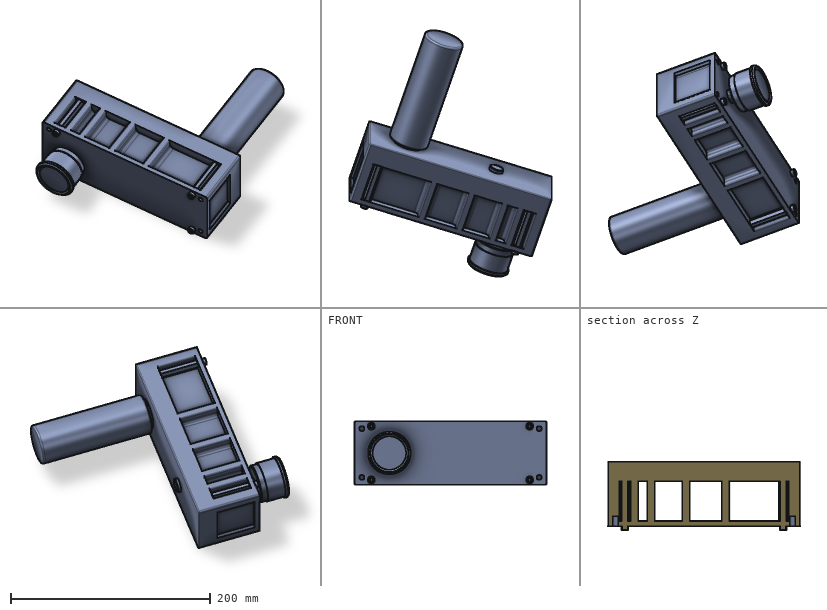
import cadquery as cq
WIDTH = 193.0
HEIGHT = 64.0
DEPTH = 65.0
LID_DEPTH = 20.0
CORNER_RADIUS = 2.0
BACK_EDGE_RADIUS = 1.0

FRONT_WALL = 5.3
POCKET_END = DEPTH - LID_DEPTH
POCKET_LENGTH = POCKET_END - FRONT_WALL
POCKET_DEPTH = 10.0
POCKET_FLOOR_RADIUS = 4.2
POCKET_RIM_RADIUS = 1.0
RIB = 5.5
POCKETS_START = -86.0
POCKET_WIDTHS = (13.7, 11.0, 29.5, 34.2, 61.5)

END_RECESS_HALF_HEIGHT = 22.3
END_RECESS_DEPTH = 3.3
END_RECESS_SLOPE_DEPTH = 2.6
END_RECESS_SLOPE_DROP = 2.1
END_RECESS_COVE_DROP = 2.1
END_RECESS_COVE_RADIUS = 3.7

SCREW_X = 79.4
SCREW_Z = 27.0
SCREW_HEAD_RADIUS = 3.5
SCREW_HEAD_HEIGHT = 4.0
SCREW_HEAD_CHAMFER = 0.5
SCREW_SOCKET_SIZE = 3.5
SCREW_SOCKET_DEPTH = 2.0
BOSS_ACROSS_CORNERS = 8.5

HOLE_X = 88.9
HOLE_Z = 24.5
HOLE_DIAMETER = 5.0
HOLE_DEPTH = 10.0

KNOB_X = -61.3
STEM_RADIUS = 7.0
STEM_LENGTH = 6.6
COLLAR_RADIUS = 19.2
COLLAR_START = 7.5
COLLAR_BEVEL = 0.9
GRIP_RADIUS = 20.0
GRIP_START = 14.3
FLANGE_RADIUS = 21.4
FLANGE_START = 32.6
KNOB_END = 36.8
FLANGE_CHAMFER = 1.8
DISH_RIM_RADIUS = 19.0
DISH_FLOOR_RADIUS = 16.8
DISH_DEPTH = 1.0

MOTOR_X = 56.0
MOTOR_RADIUS = 20.0
OVERALL_LENGTH = 220.5
MOTOR_END = OVERALL_LENGTH - KNOB_END
MOTOR_EDGE_RADIUS = 2.0
NECK_RADIUS = 15.0
NECK_LENGTH = 2.6
CAP_X = -37.0
CAP_RADIUS = 7.0
CAP_HEIGHT = 3.5
CAP_CHAMFER = 0.7


def rod(x, z, radius, start, end):
    """Cylinder along Y from y = start to y = end."""
    axis_start = cq.Vector(x, start, z)
    solid = cq.Solid.makeCylinder(radius, end - start, axis_start, cq.Vector(0, 1, 0))
    return cq.Workplane(obj=solid)


def both_ways(distance):
    """The two mirrored places at a distance from the centre plane."""
    return (-distance, distance)


def housing_block():
    """Plain housing block with rounded long edges and back rim."""
    block = cq.Workplane().box(WIDTH, DEPTH, HEIGHT).translate((0, DEPTH / 2, 0))
    return block.edges("|Y").fillet(CORNER_RADIUS).faces(">Y").edges().fillet(BACK_EDGE_RADIUS)


def top_pocket(left, width):
    """Pocket with rounded rims on its two ribs and coved floor corners."""
    top = HEIGHT / 2
    right = left + width
    floor = top - POCKET_DEPTH
    rim = POCKET_RIM_RADIUS
    cove = POCKET_FLOOR_RADIUS
    profile = (
        cq.Workplane("XZ", origin=(0, POCKET_END, 0))
        .moveTo(left, top)
        .radiusArc((left + rim, top - rim), rim)
        .lineTo(left + rim, floor + cove)
        .radiusArc((left + rim + cove, floor), -cove)
        .lineTo(right - rim - cove, floor)
        .radiusArc((right - rim, floor + cove), -cove)
        .lineTo(right - rim, top - rim)
        .radiusArc((right, top), rim)
        .close()
    )
    return profile.extrude(POCKET_LENGTH)


def all_pockets():
    """The row of pockets in the top face and the same row in the bottom face."""
    pockets = cq.Workplane()
    left = POCKETS_START
    for width in POCKET_WIDTHS:
        pocket = top_pocket(left, width)
        pockets = pockets.add(pocket).add(pocket.mirror("XY"))
        left += width + RIB
    return pockets.combine()


def end_recess(side):
    """Recess in one end face (side = -1 or 1) with sloped, coved top and bottom walls."""
    face_x = side * WIDTH / 2
    slope_x = face_x - side * END_RECESS_SLOPE_DEPTH
    floor_x = face_x - side * END_RECESS_DEPTH
    floor_z = END_RECESS_HALF_HEIGHT - END_RECESS_SLOPE_DROP - END_RECESS_COVE_DROP
    slope_z = floor_z + END_RECESS_COVE_DROP
    cove = side * END_RECESS_COVE_RADIUS
    profile = (
        cq.Workplane("XZ", origin=(0, POCKET_END, 0))
        .moveTo(face_x, -END_RECESS_HALF_HEIGHT)
        .lineTo(slope_x, -slope_z)
        .radiusArc((floor_x, -floor_z), cove)
        .lineTo(floor_x, floor_z)
        .radiusArc((slope_x, slope_z), cove)
        .lineTo(face_x, END_RECESS_HALF_HEIGHT)
        .close()
    )
    return profile.extrude(POCKET_LENGTH)


def screw_boss(x, z):
    """Hexagonal boss along the screw, joined to the pocket floor by a web."""
    side = 1 if z > 0 else -1
    floor = HEIGHT / 2 - POCKET_DEPTH
    web_height = abs(z) - floor
    web_z = side * (floor + web_height / 2)
    web_width = BOSS_ACROSS_CORNERS / 2
    web = cq.Workplane().box(web_width, POCKET_LENGTH, web_height)
    web = web.translate((x, FRONT_WALL + POCKET_LENGTH / 2, web_z))
    boss = (
        cq.Workplane("XZ", origin=(x, POCKET_END, z))
        .polygon(6, BOSS_ACROSS_CORNERS)
        .extrude(POCKET_LENGTH)
    )
    return boss.union(web)


def screw_head(x, z):
    """Chamfered cap screw head with a hexagon socket."""
    head = rod(x, z, SCREW_HEAD_RADIUS, -SCREW_HEAD_HEIGHT, 0)
    head = head.faces("<Y").chamfer(SCREW_HEAD_CHAMFER)
    socket = (
        cq.Workplane("XZ", origin=(x, -SCREW_HEAD_HEIGHT, z))
        .polygon(6, SCREW_SOCKET_SIZE)
        .extrude(-SCREW_SOCKET_DEPTH)
    )
    return head.cut(socket)


def knob():
    """Turned knob with a stem, a stepped grip and a dished end flange."""
    outline = [
        (0, 0),
        (STEM_RADIUS, 0),
        (STEM_RADIUS, -STEM_LENGTH),
        (COLLAR_RADIUS - COLLAR_BEVEL, -COLLAR_START),
        (COLLAR_RADIUS, -COLLAR_START - COLLAR_BEVEL),
        (COLLAR_RADIUS, -GRIP_START),
        (GRIP_RADIUS, -GRIP_START),
        (GRIP_RADIUS, -FLANGE_START),
        (FLANGE_RADIUS, -FLANGE_START),
        (FLANGE_RADIUS, -KNOB_END + FLANGE_CHAMFER),
        (FLANGE_RADIUS - FLANGE_CHAMFER, -KNOB_END),
        (DISH_RIM_RADIUS, -KNOB_END),
        (DISH_FLOOR_RADIUS, -KNOB_END + DISH_DEPTH),
        (0, -KNOB_END + DISH_DEPTH),
    ]
    turned = cq.Workplane("XY").polyline(outline).close().revolve(360, (0, 0), (0, 1))
    return turned.translate((KNOB_X, 0, 0))


def motor():
    """Motor barrel with rounded ends on a narrower neck."""
    neck = rod(MOTOR_X, 0, NECK_RADIUS, DEPTH, DEPTH + NECK_LENGTH)
    barrel = rod(MOTOR_X, 0, MOTOR_RADIUS, DEPTH + NECK_LENGTH, MOTOR_END)
    return neck.union(barrel.edges("%CIRCLE").fillet(MOTOR_EDGE_RADIUS))


def bearing_cap():
    """Short chamfered disc on the back face."""
    cap = rod(CAP_X, 0, CAP_RADIUS, DEPTH, DEPTH + CAP_HEIGHT)
    return cap.faces(">Y").chamfer(CAP_CHAMFER)


result = housing_block().cut(all_pockets())
for side in (-1, 1):
    result = result.cut(end_recess(side))

for x in both_ways(SCREW_X):
    for z in both_ways(SCREW_Z):
        result = result.union(screw_boss(x, z)).union(screw_head(x, z))

for x in both_ways(HOLE_X):
    for z in both_ways(HOLE_Z):
        result = result.cut(rod(x, z, HOLE_DIAMETER / 2, 0, HOLE_DEPTH))

result = result.union(knob()).union(motor()).union(bearing_cap())